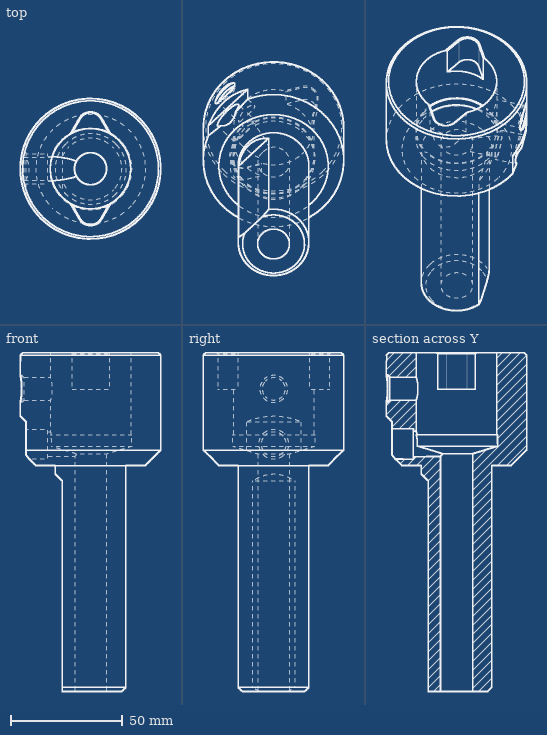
import cadquery as cq
import math

total_length = 152.4
head_diameter = 63.2
head_height = 50.7
head_top_chamfer = 1.0
head_bottom_chamfer = 7.0
shank_diameter = 31.9
shank_chamfer = 2.0

bore_diameter = 36.1
undercut_diameter = 36.9
undercut_height = 5.2
cone_top_z = 110.3
cone_depth = 3.4
through_diameter = 14.3

wing_depth = 16.3
wing_reach = 25.1
wing_tip_radius = 5.3
wing_slope_angle = 30.0
wing_mouth_chamfer = 0.5

head_flat_offset = 29.1
head_flat_top_z = 121.5
shank_flat_offset = 12.8
shank_flat_top_z = 94.8

upper_hole_diameter = 10.2
upper_hole_mouth_diameter = 12.3
upper_hole_z = 136.2
lower_hole_diameter = 11.1
lower_hole_counterbore_diameter = 13.4
lower_hole_counterbore_depth = 9.8
lower_hole_z = 111.4

head_radius = head_diameter / 2
shank_radius = shank_diameter / 2
bore_radius = bore_diameter / 2
through_radius = through_diameter / 2
head_bottom_z = total_length - head_height


def make_body():
    """Stepped solid of revolution, chamfered at both ends and under the head."""
    profile = [
        (0, 0),
        (shank_radius - shank_chamfer, 0),
        (shank_radius, shank_chamfer),
        (shank_radius, head_bottom_z),
        (head_radius - head_bottom_chamfer, head_bottom_z),
        (head_radius, head_bottom_z + head_bottom_chamfer),
        (head_radius, total_length - head_top_chamfer),
        (head_radius - head_top_chamfer, total_length),
        (0, total_length),
    ]
    return cq.Workplane("XZ").polyline(profile).close().revolve(360, (0, 0), (0, 1))


def make_bore():
    """Bore, undercut ring, conical floor and through hole as one cutter."""
    undercut_radius = undercut_diameter / 2
    undercut_top_z = cone_top_z + undercut_height
    profile = [
        (0, 0),
        (through_radius, 0),
        (through_radius, cone_top_z - cone_depth),
        (bore_radius, cone_top_z),
        (undercut_radius, cone_top_z),
        (undercut_radius, undercut_top_z),
        (bore_radius, undercut_top_z),
        (bore_radius, total_length),
        (0, total_length),
    ]
    return cq.Workplane("XZ").polyline(profile).close().revolve(360, (0, 0), (0, 1))


def make_wings():
    """Two round-tipped wedge pockets pointing to +Y and -Y, chamfered at the mouth."""
    slope = math.radians(wing_slope_angle)
    tip_center_y = wing_reach - wing_tip_radius
    tangent_x = wing_tip_radius * math.cos(slope)
    tangent_y = tip_center_y + wing_tip_radius * math.sin(slope)
    root_y = bore_radius / 2
    root_x = tangent_x + (tangent_y - root_y) * math.tan(slope)
    wing = (
        cq.Workplane("XY", origin=(0, 0, total_length - wing_depth))
        .moveTo(-root_x, root_y)
        .lineTo(-tangent_x, tangent_y)
        .threePointArc((0, wing_reach), (tangent_x, tangent_y))
        .lineTo(root_x, root_y)
        .close()
        .extrude(wing_depth - wing_mouth_chamfer)
        .faces(">Z")
        .wires()
        .toPending()
        .extrude(wing_mouth_chamfer, taper=-45)
    )
    return wing.union(wing.mirror("XZ"))


def make_flat(offset, outer_radius, top_z, bottom_z):
    """Cutter for a flat at x = -offset with a 45 degree run-out above top_z."""
    run = outer_radius - offset
    profile = [
        (-offset, bottom_z),
        (-offset, top_z),
        (-offset - run, top_z + run),
        (-offset - run, bottom_z),
    ]
    return cq.Workplane("XZ").polyline(profile).close().extrude(head_radius, both=True)


def make_radial_cylinder(diameter, z, start_x, length):
    """Cylinder along X at height z, running from start_x toward +X."""
    return cq.Workplane("YZ", origin=(start_x, 0, z)).circle(diameter / 2).extrude(length)


def make_upper_hole():
    """Radial hole from -X to the bore with a 45 degree countersunk mouth."""
    radius = upper_hole_diameter / 2
    mouth_radius = upper_hole_mouth_diameter / 2
    mouth_x = -math.sqrt(head_radius**2 - mouth_radius**2)
    profile = [
        (0, upper_hole_z),
        (0, upper_hole_z + radius),
        (mouth_x + mouth_radius - radius, upper_hole_z + radius),
        (mouth_x, upper_hole_z + mouth_radius),
        (-head_diameter, upper_hole_z + mouth_radius),
        (-head_diameter, upper_hole_z),
    ]
    return cq.Workplane("XZ").polyline(profile).close().revolve(360, (0, upper_hole_z), (1, upper_hole_z))


def make_lower_hole():
    """Counterbored radial hole entering through the head flat and reaching the axis."""
    hole = make_radial_cylinder(lower_hole_diameter, lower_hole_z, -head_radius, head_radius)
    counterbore_length = head_radius - head_flat_offset + lower_hole_counterbore_depth
    counterbore = make_radial_cylinder(
        lower_hole_counterbore_diameter, lower_hole_z, -head_radius, counterbore_length
    )
    return hole.union(counterbore)


result = (
    make_body()
    .cut(make_flat(head_flat_offset, head_radius, head_flat_top_z, head_bottom_z))
    .cut(make_flat(shank_flat_offset, shank_radius, shank_flat_top_z, 0))
    .cut(make_bore())
    .cut(make_wings())
    .cut(make_upper_hole())
    .cut(make_lower_hole())
)